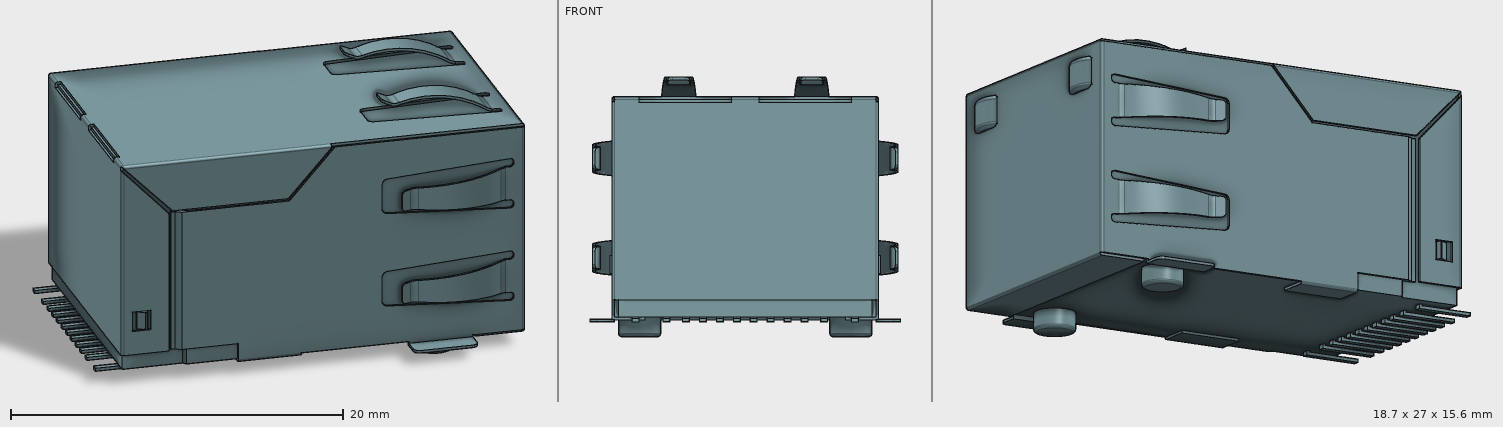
import cadquery as cq


SHEET = 0.17
HALF_WIDTH = 8.02
LENGTH = 25.28
TOP = 13.55
BODY_BOTTOM = 0.28
INNER_HALF_WIDTH = HALF_WIDTH - SHEET
INNER_TOP = TOP - SHEET
BEND_RADIUS = SHEET

FLAP_BOTTOM = 10.36
FLAP_BACK = 13.18
FLAP_BACK_LOW = 10.45
FLAP_FRONT_LOW = 3.19
SLIT_HEIGHT = 0.16
SLIT_BACK_WIDTH = 0.2
SLIT_BACK_LOW_SHIFT = 0.07
SLIT_CORNER_DROP = 0.27
SIDE_PANEL_TOP = FLAP_BOTTOM - SLIT_HEIGHT
FRONT_FLAP_END = 2.99
JOG_DEPTH = 0.22
PANEL_END = 3.17
JOG_OUTER_START = 3.79
JOG_OUTER_END = 3.43
JOG_INNER_START = 4.14
JOG_INNER_END = 3.96
SKIRT_TOP = 1.32
SKIRT_START = 7.33

RELIEF_LENGTH = 5.54
RELIEF_DEPTH = 0.35
RELIEF_X = 3.61

SPRING_SPACING_X = 8.0
SIDE_SPRING_Z = (3.85, 9.83)
SPRING_HEIGHT = 1.18
SPRING_ROOT_Y = 24.05
SPRING_CREST_Y = 20.17
SPRING_ROOT_BEND = (23.92, 0.04)
SPRING_ARCH_START = (23.73, 0.12)
SPRING_ARCH_END = (18.33, 0.9)
SPRING_VALLEY = (18.08, 0.86)
SPRING_LIP_START = (17.84, 0.91)
SPRING_TIP_Y = 17.25
SPRING_TIP_HEIGHT = 1.18
SPRING_ROOT_WIDTH = 2.1
SPRING_TIP_WIDTH = 1.25
SPRING_TIP_RADIUS = 0.25
SLOT_BACK_Y = 24.58
SLOT_FRONT_Y = 16.33
SLOT_BACK_WIDTH = 3.2
SLOT_FRONT_WIDTH = 2.2
SLOT_LEG_WIDTH = 0.53
SLOT_CORNER_RADIUS = 0.35

FOLD_BOTTOM = BODY_BOTTOM - SHEET
FOLD_RADIUS = 0.9 * SHEET
BACK_FOLD_END = 22.2
SIDE_FOLD_START = SKIRT_START
SIDE_FOLD_END = 11.28
SIDE_FOLD_WIDTH = 2.0
TAB_SPAN = 18.7
TAB_Y = 20.0
TAB_LENGTH = 4.0
TAB_RADIUS = 0.4

WINDOW_LENGTH = 1.17
WINDOW_HEIGHT = 1.25
WINDOW_Y = 1.28
WINDOW_Z = 3.45
TOOTH_GAP = 0.08
TOOTH_REACH = 8.13
TOOTH_RAMP_START = 1.03
TOOTH_CREST_START = 1.49
TOOTH_CREST_END = 1.57
TOOTH_BACK = 1.73

PEG_X = 6.35
PEG_Y = TAB_Y
PEG_DIAMETER = 2.54
PEG_BOTTOM = -0.9
PEG_ROUNDING = 0.2
LENS_X = 5.55
LENS_Z = 11.75
LENS_WIDTH = 2.6
LENS_HEIGHT = 2.0
LENS_REACH = 0.46
LENS_ROUNDING = 0.3
PIN_WIDTH = 0.42
PIN_THICKNESS = 0.2
PIN_INNER_Y = 2.3
PIN_OUTER_Y = -1.27
PIN_PITCH = 1.02
INNER_PIN_COUNT = 8
OUTER_PIN_XS = (-6.6, -4.75, 4.75, 6.6)


def block(x0, x1, y0, y1, z0, z1):
    return cq.Workplane("XY").box(x1 - x0, y1 - y0, z1 - z0, centered=False).translate((x0, y0, z0))


def on_both_sides(shape):
    return shape.union(shape.mirror("YZ"))


def side_slab(points, x0, x1):
    """Outline in Y and Z, thickened from x0 to x1."""
    return cq.Workplane("YZ").polyline(points).close().extrude(x1 - x0).translate((x0, 0, 0))


def spring_slot():
    """Tapered outline with two round-ended legs that reach past the spring's root."""
    outer_half_back = SLOT_BACK_WIDTH / 2
    outer_half_front = SLOT_FRONT_WIDTH / 2
    leg_radius = SLOT_LEG_WIDTH / 2
    leg_inner = outer_half_back - SLOT_LEG_WIDTH
    leg_shoulder = SLOT_BACK_Y - leg_radius
    return (
        cq.Workplane("XY")
        .moveTo(-outer_half_front, SLOT_FRONT_Y)
        .lineTo(outer_half_front, SLOT_FRONT_Y)
        .lineTo(outer_half_back, leg_shoulder)
        .threePointArc((outer_half_back - leg_radius, SLOT_BACK_Y), (leg_inner, leg_shoulder))
        .lineTo(leg_inner, SPRING_ROOT_Y)
        .lineTo(-leg_inner, SPRING_ROOT_Y)
        .lineTo(-leg_inner, leg_shoulder)
        .threePointArc((leg_radius - outer_half_back, SLOT_BACK_Y), (-outer_half_back, leg_shoulder))
        .close()
        .extrude(-SHEET)
        .edges("|Z and <Y")
        .fillet(SLOT_CORNER_RADIUS)
    )


def spring_tongue():
    """Arched strip with an upturned tip, tapering from root to tip."""
    def lowered(point):
        return (point[0], point[1] - SHEET)

    root = (SPRING_ROOT_Y, 0)
    crest = (SPRING_CREST_Y, SPRING_HEIGHT)
    tip = (SPRING_TIP_Y, SPRING_TIP_HEIGHT)
    strip = (
        cq.Workplane("YZ")
        .moveTo(*root)
        .threePointArc(SPRING_ROOT_BEND, SPRING_ARCH_START)
        .threePointArc(crest, SPRING_ARCH_END)
        .threePointArc(SPRING_VALLEY, SPRING_LIP_START)
        .lineTo(*tip)
        .lineTo(*lowered(tip))
        .lineTo(*lowered(SPRING_LIP_START))
        .threePointArc(lowered(SPRING_VALLEY), lowered(SPRING_ARCH_END))
        .threePointArc(lowered(crest), lowered(SPRING_ARCH_START))
        .threePointArc(lowered(SPRING_ROOT_BEND), lowered(root))
        .close()
        .extrude(SPRING_ROOT_WIDTH, both=True)
    )
    half_root = SPRING_ROOT_WIDTH / 2
    half_tip = SPRING_TIP_WIDTH / 2
    plan = (
        cq.Workplane("XY")
        .polyline([
            (-half_tip, SPRING_TIP_Y),
            (half_tip, SPRING_TIP_Y),
            (half_root, SPRING_ROOT_Y),
            (-half_root, SPRING_ROOT_Y),
        ])
        .close()
        .extrude(2 * SPRING_HEIGHT, both=True)
        .edges("|Z and <Y")
        .fillet(SPRING_TIP_RADIUS)
    )
    return strip.intersect(plan)


def at_spring_places(piece):
    """Copies of a spring piece: two on the roof and two on each side."""
    places = []
    for x in (-SPRING_SPACING_X / 2, SPRING_SPACING_X / 2):
        places.append(piece.translate((x, 0, TOP)))
    for z in SIDE_SPRING_Z:
        for angle, x in ((90, HALF_WIDTH), (-90, -HALF_WIDTH)):
            places.append(piece.rotate((0, 0, 0), (0, 1, 0), angle).translate((x, 0, z)))
    return places


def shield_box():
    outer = block(-HALF_WIDTH, HALF_WIDTH, 0, LENGTH, BODY_BOTTOM, TOP)
    outer = outer.edges("|Z or >Z").fillet(BEND_RADIUS)
    inner = block(-INNER_HALF_WIDTH, INNER_HALF_WIDTH, SHEET, LENGTH - SHEET, BODY_BOTTOM, INNER_TOP)
    return outer.cut(inner)


def side_openings():
    """Material removed from the +X wall: roof seam, slit around the flap, jog space and skirt."""
    seam = block(INNER_HALF_WIDTH, HALF_WIDTH, FLAP_BACK, LENGTH, INNER_TOP, TOP)
    slit = side_slab(
        [
            (FLAP_BACK, INNER_TOP),
            (FLAP_BACK_LOW, FLAP_BOTTOM),
            (FLAP_FRONT_LOW, FLAP_BOTTOM),
            (SHEET, INNER_TOP),
            (0, TOP),
            (0, TOP - SLIT_CORNER_DROP),
            (FRONT_FLAP_END, SIDE_PANEL_TOP),
            (FLAP_BACK_LOW + SLIT_BACK_LOW_SHIFT, SIDE_PANEL_TOP),
            (FLAP_BACK + SLIT_BACK_WIDTH, INNER_TOP),
        ],
        INNER_HALF_WIDTH,
        HALF_WIDTH,
    )
    jog = block(INNER_HALF_WIDTH, HALF_WIDTH, FRONT_FLAP_END, JOG_INNER_START, BODY_BOTTOM, SIDE_PANEL_TOP)
    skirt = block(INNER_HALF_WIDTH, HALF_WIDTH, 0, SKIRT_START, BODY_BOTTOM, SKIRT_TOP)
    window = (
        cq.Workplane("XY")
        .box(2 * SHEET, WINDOW_LENGTH, WINDOW_HEIGHT)
        .translate((HALF_WIDTH, WINDOW_Y, WINDOW_Z))
    )
    return seam.union(slit).union(jog).union(skirt).union(window)


def panel_jog():
    """End of the +X side panel, stepped inwards behind the front flap."""
    return (
        cq.Workplane("XY")
        .polyline([
            (HALF_WIDTH, JOG_INNER_START),
            (HALF_WIDTH, JOG_OUTER_START),
            (HALF_WIDTH - JOG_DEPTH, JOG_OUTER_END),
            (HALF_WIDTH - JOG_DEPTH, PANEL_END),
            (INNER_HALF_WIDTH - JOG_DEPTH, PANEL_END),
            (INNER_HALF_WIDTH - JOG_DEPTH, JOG_INNER_END),
            (INNER_HALF_WIDTH, JOG_INNER_START),
        ])
        .close()
        .extrude(SIDE_PANEL_TOP - SKIRT_TOP)
        .translate((0, 0, SKIRT_TOP))
    )


def fold_reliefs():
    cuts = cq.Workplane("XY")
    for x in (-RELIEF_X, RELIEF_X):
        cuts = cuts.union(
            block(x - RELIEF_LENGTH / 2, x + RELIEF_LENGTH / 2, 0, RELIEF_DEPTH, TOP - RELIEF_DEPTH, TOP)
        )
    return cuts


def front_skirt():
    return block(-HALF_WIDTH, HALF_WIDTH, 0, SHEET, BODY_BOTTOM, SKIRT_TOP)


def back_fold():
    fold = block(-INNER_HALF_WIDTH, INNER_HALF_WIDTH, BACK_FOLD_END, LENGTH, FOLD_BOTTOM, BODY_BOTTOM)
    return fold.edges(">Y and <Z").fillet(FOLD_RADIUS)


def side_fold():
    fold = block(
        HALF_WIDTH - SIDE_FOLD_WIDTH, HALF_WIDTH, SIDE_FOLD_START, SIDE_FOLD_END, FOLD_BOTTOM, BODY_BOTTOM
    )
    return fold.edges(">X and <Z").fillet(FOLD_RADIUS)


def solder_tab():
    tab = block(
        INNER_HALF_WIDTH, TAB_SPAN / 2, TAB_Y - TAB_LENGTH / 2, TAB_Y + TAB_LENGTH / 2, 0, SHEET
    )
    tab = tab.edges("|Z and >X").fillet(TAB_RADIUS)
    web = block(
        INNER_HALF_WIDTH, HALF_WIDTH, TAB_Y - TAB_LENGTH / 2, TAB_Y + TAB_LENGTH / 2, SHEET, BODY_BOTTOM
    )
    return tab.union(web)


def lenses():
    """Light-pipe lenses bulging through the mating side, with rounded rims."""
    half = LENS_WIDTH / 2
    back = LENGTH - SHEET
    lens = (
        cq.Workplane("XY")
        .moveTo(-half, back)
        .lineTo(-half, LENGTH)
        .threePointArc((0, LENGTH + LENS_REACH), (half, LENGTH))
        .lineTo(half, back)
        .close()
        .extrude(LENS_HEIGHT)
        .faces("<Z or >Z")
        .edges(">Y")
        .fillet(LENS_ROUNDING)
        .translate((0, 0, LENS_Z - LENS_HEIGHT / 2))
    )
    return [lens.translate((x, 0, 0)) for x in (-LENS_X, LENS_X)]


def build_shield():
    shield = shield_box().cut(on_both_sides(side_openings())).cut(fold_reliefs()).cut(front_skirt())
    shield = shield.union(on_both_sides(panel_jog()))
    for slot in at_spring_places(spring_slot()):
        shield = shield.cut(slot)
    for tongue in at_spring_places(spring_tongue()):
        shield = shield.union(tongue)
    for lens in lenses():
        shield = shield.cut(lens)
    return shield.union(back_fold()).union(on_both_sides(side_fold())).union(on_both_sides(solder_tab()))


def housing_block():
    half = INNER_HALF_WIDTH
    narrow = half - JOG_DEPTH
    plan = [
        (narrow, SHEET),
        (narrow, JOG_INNER_END),
        (half, JOG_INNER_START),
        (half, LENGTH - SHEET),
    ]
    mirrored = [(-x, y) for x, y in reversed(plan)]
    height = INNER_TOP - BODY_BOTTOM
    return cq.Workplane("XY").workplane(offset=BODY_BOTTOM).polyline(plan + mirrored).close().extrude(height)


def latch_tooth():
    """Ramped tooth that snaps into the window of the +X front flap."""
    height = WINDOW_HEIGHT - 2 * TOOTH_GAP
    root = INNER_HALF_WIDTH - JOG_DEPTH
    return (
        cq.Workplane("XY")
        .polyline([
            (root, TOOTH_RAMP_START),
            (INNER_HALF_WIDTH, TOOTH_RAMP_START),
            (TOOTH_REACH, TOOTH_CREST_START),
            (TOOTH_REACH, TOOTH_CREST_END),
            (INNER_HALF_WIDTH, TOOTH_BACK),
            (root, TOOTH_BACK),
        ])
        .close()
        .extrude(height)
        .translate((0, 0, WINDOW_Z - height / 2))
    )


def peg():
    return (
        cq.Workplane("XY")
        .circle(PEG_DIAMETER / 2)
        .extrude(BODY_BOTTOM - PEG_BOTTOM)
        .faces("<Z")
        .edges()
        .fillet(PEG_ROUNDING)
        .translate((PEG_X, PEG_Y, PEG_BOTTOM))
    )


def pin(x):
    x0 = x - PIN_WIDTH / 2
    x1 = x + PIN_WIDTH / 2
    foot = block(x0, x1, PIN_OUTER_Y, PIN_INNER_Y, 0, PIN_THICKNESS)
    riser = block(x0, x1, PIN_INNER_Y - PIN_THICKNESS, PIN_INNER_Y, 0, BODY_BOTTOM)
    return foot.union(riser)


def build_housing():
    housing = housing_block().union(on_both_sides(latch_tooth())).union(on_both_sides(peg()))
    for lens in lenses():
        housing = housing.union(lens)
    inner_pin_xs = [PIN_PITCH * (i - (INNER_PIN_COUNT - 1) / 2) for i in range(INNER_PIN_COUNT)]
    for x in (*inner_pin_xs, *OUTER_PIN_XS):
        housing = housing.union(pin(x))
    return housing


shield = build_shield()
housing = build_housing()
result = cq.Compound.makeCompound([*shield.vals(), *housing.vals()])